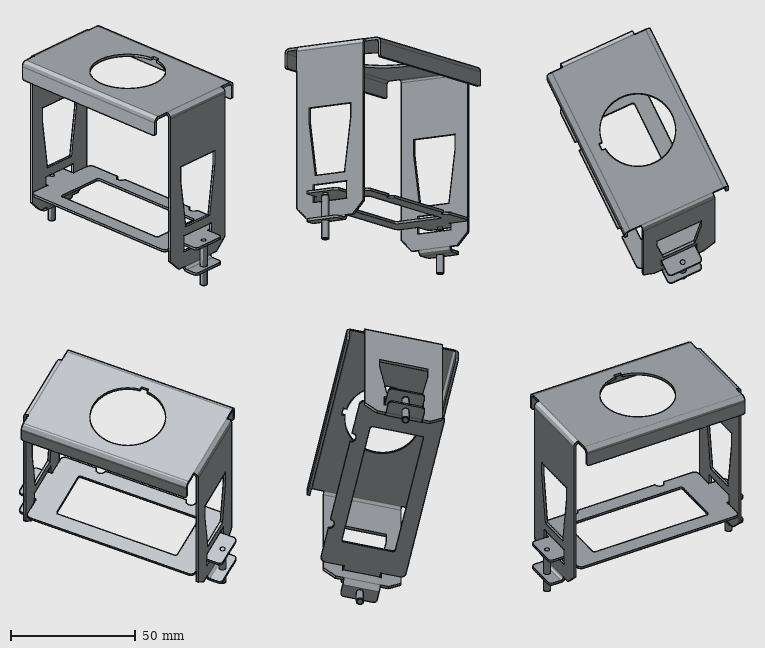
import cadquery as cq

total_length = 90.0
total_width = 46.0
total_height = 81.5

sheet = 1.1
bend_radius = 2.2
leg_span = 77.5
leg_width = 31.95
leg_corner = 5.0
lip_drop = 8.1
lip_corner_radius = 1.0
panel_length = leg_span - 2 * bend_radius

dial_diameter = 30.4
keyway_width = 3.0
keyway_reach = 16.6

window_bottom = 27.5
window_shoulder = 49.5
window_top = 55.5
window_top_width = 20.0
window_bottom_width = 14.0

slot_width = 16.0
slot_bottom = 16.6
slot_top = 23.8

tab_width = 15.0
tab_corner_radius = 1.6
foot_bottom = 7.65
leg_bottom = foot_bottom + bend_radius

plate_thickness = 1.0
plate_top = 20.1
plate_width = 35.0
plate_corner_radius = 2.0
plate_length = 74.2
opening_length = 53.4
opening_width = 22.0
opening_corner_radius = 1.0
notch_spacing = 40.0
notch_radius = 2.0

screw_spacing = 84.0
screw_diameter = 3.0
screw_shoulder = 18.2
screw_chamfer = 0.4
pilot_diameter = 2.0

plate_bottom = plate_top - plate_thickness
leg_outer = leg_span / 2
screw_x = screw_spacing / 2
SIDES = (-1, 1)


def centred_box(length, width, bottom, top):
    """Box centred on the Z axis between two heights."""
    return (
        cq.Workplane("XY", origin=(0, 0, bottom))
        .rect(length, width)
        .extrude(top - bottom)
    )


def upright_cylinder(x, diameter, bottom, top):
    """Vertical cylinder on the Y = 0 plane."""
    return cq.Workplane("XY", origin=(x, 0, bottom)).circle(diameter / 2).extrude(top - bottom)


def mirrored_pair(shape):
    """A shape on the +X side joined with its mirror image."""
    return shape.union(shape.mirror("YZ"))


def make_leg_channel():
    """Middle strip of the top, with both legs bent down from its ends."""
    outer = centred_box(leg_span, leg_width, leg_bottom, total_height)
    outer = outer.edges(">Z and |Y").fillet(bend_radius)
    outer = outer.edges("<Z and |X").chamfer(leg_corner)
    inner = centred_box(leg_span - 2 * sheet, leg_width, leg_bottom, total_height - sheet)
    inner = inner.edges(">Z and |Y").fillet(bend_radius - sheet)
    return outer.cut(inner)


def make_lip_channel():
    """Full-width top panel, with a lip bent down along each long side."""
    lip_bottom = total_height - lip_drop
    outer = centred_box(panel_length, total_width, lip_bottom, total_height)
    outer = outer.edges(">Z and |X").fillet(bend_radius)
    outer = outer.edges("<Z and |Y").fillet(lip_corner_radius)
    inner = centred_box(panel_length, total_width - 2 * sheet, lip_bottom, total_height - sheet)
    inner = inner.edges(">Z and |X").fillet(bend_radius - sheet)
    return outer.cut(inner)


def make_foot():
    """Foot bent outward from the lower end of the +X leg."""
    leg_inner = leg_outer - sheet
    end = total_length / 2
    foot_top = foot_bottom + sheet
    foot = (
        cq.Workplane("XZ")
        .moveTo(leg_inner, leg_bottom)
        .radiusArc((leg_inner + bend_radius, foot_bottom), -bend_radius)
        .lineTo(end, foot_bottom)
        .lineTo(end, foot_top)
        .lineTo(leg_inner + bend_radius, foot_top)
        .radiusArc((leg_outer, leg_bottom), bend_radius - sheet)
        .close()
        .extrude(tab_width / 2, both=True)
    )
    foot = foot.edges(">X and |Z").fillet(tab_corner_radius)
    return foot.cut(upright_cylinder(screw_x, screw_diameter, 0, leg_bottom))


def make_dial_cutter():
    """Round opening in the top, with a keyway toward +Y."""
    bottom = total_height - sheet
    round_hole = upright_cylinder(0, dial_diameter, bottom, total_height)
    keyway = (
        centred_box(keyway_width, keyway_reach, bottom, total_height)
        .translate((0, keyway_reach / 2, 0))
    )
    return round_hole.union(keyway)


def make_leg_cutter():
    """Tapered window and tab slot, running through both legs."""
    half_top = window_top_width / 2
    half_bottom = window_bottom_width / 2
    window = (
        cq.Workplane("YZ")
        .moveTo(-half_bottom, window_bottom)
        .lineTo(half_bottom, window_bottom)
        .lineTo(half_top, window_shoulder)
        .lineTo(half_top, window_top)
        .lineTo(-half_top, window_top)
        .lineTo(-half_top, window_shoulder)
        .close()
        .extrude(leg_outer, both=True)
    )
    slot = centred_box(leg_span, slot_width, slot_bottom, slot_top)
    return window.union(slot)


def make_bracket():
    """Bent sheet bracket: top panel with lips, two legs and two feet."""
    bracket = make_leg_channel().union(make_lip_channel()).union(mirrored_pair(make_foot()))
    return bracket.cut(make_dial_cutter()).cut(make_leg_cutter())


def make_clamp_plate():
    """Flat frame between the legs, with a tab through each leg slot."""
    frame = centred_box(plate_length, plate_width, plate_bottom, plate_top)
    frame = frame.edges("|Z").fillet(plate_corner_radius)
    tabs = centred_box(total_length, tab_width, plate_bottom, plate_top)
    tabs = tabs.edges("|Z").fillet(tab_corner_radius)
    opening = centred_box(opening_length, opening_width, plate_bottom, plate_top)
    opening = opening.edges("|Z").fillet(opening_corner_radius)
    plate = frame.union(tabs).cut(opening)
    for side in SIDES:
        notch = upright_cylinder(side * notch_spacing / 2, 2 * notch_radius, plate_bottom, plate_top)
        plate = plate.cut(notch.translate((0, plate_width / 2, 0)))
        plate = plate.cut(upright_cylinder(side * screw_x, pilot_diameter, plate_bottom, plate_top))
    return plate


def make_screw(x):
    """Clamp screw: chamfered shank with a pilot that fits the clamp plate."""
    shank = upright_cylinder(x, screw_diameter, 0, screw_shoulder)
    shank = shank.faces("<Z or >Z").chamfer(screw_chamfer)
    return shank.union(upright_cylinder(x, pilot_diameter, screw_shoulder, plate_top))


bracket = make_bracket()
clamp_plate = make_clamp_plate()
screws = [make_screw(side * screw_x) for side in SIDES]

result = cq.Compound.makeCompound(
    [bracket.val(), clamp_plate.val(), *[screw.val() for screw in screws]]
)